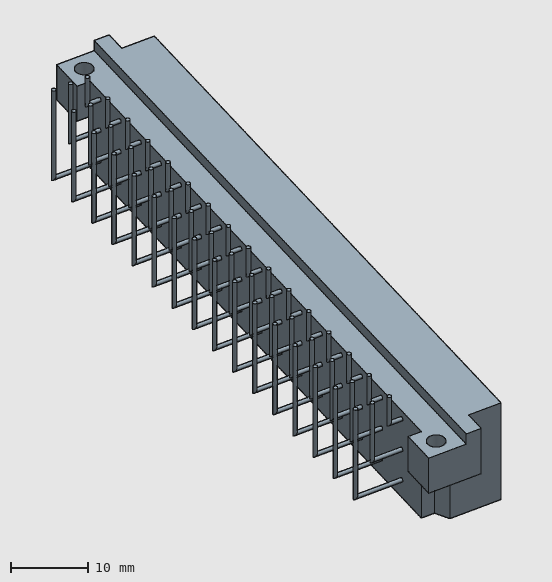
import cadquery as cq


length = 93.95
body_bottom = 2.0
body_top = 18.0
body_depth = 10.8
body_inset = 3.2

ledge_depth = 7.1
ledge_z = 16.35

ear_rear_depth = 4.9
ear_front_depth = 12.8
ear_bottom = 10.5
ear_width = 5.2
ear_hole_diameter = 2.5
ear_hole_inset = 2.5
ear_hole_depth = 10.1

taper_start_depth = 7.7
taper_end_depth = 8.8

foot_inset = 7.7
foot_rear_depth = 2.6
foot_step_depth = 5.4
foot_front_depth = 9.3
foot_step_z = 1.5

column_count = 16
pin_pitch = 2.5
row_pitch = 2 * pin_pitch
row_count = 3
pin_diameter = 0.6
pin_radius = pin_diameter / 2
pin_top = 19.5
first_column_x = 7.6
last_column_x = 83.8
column_pitch = (last_column_x - first_column_x) / (column_count - 1)
lowest_row_z = 4.9
overall_depth = 18.0
pin_root = 0.9


def block(x_inset, rear_depth, front_depth, bottom, top):
    """Box centred along the length, set in by x_inset at both ends."""
    return cq.Workplane("XY").box(
        length - 2 * x_inset, front_depth - rear_depth, top - bottom, centered=False
    ).translate((x_inset, -front_depth, bottom))


def make_body():
    """Lower housing whose ends taper in to a narrower front."""
    outline = [
        (body_inset, 0),
        (body_inset, -taper_start_depth),
        (ear_width, -taper_end_depth),
        (ear_width, -body_depth),
        (length - ear_width, -body_depth),
        (length - ear_width, -taper_end_depth),
        (length - body_inset, -taper_start_depth),
        (length - body_inset, 0),
    ]
    height = body_top - body_bottom
    return cq.Workplane("XY").workplane(offset=body_bottom).polyline(outline).close().extrude(height)


def make_ears():
    """Full-length flange, cut back to the body front between the two ears."""
    flange = block(0, ear_rear_depth, ear_front_depth, ear_bottom, body_top)
    recess = block(ear_width, body_depth, ear_front_depth, ear_bottom, body_top)
    return flange.cut(recess)


def make_ear_holes():
    """Upright cylinders that cut a through hole in each ear."""
    centres = [(x, -ear_hole_depth) for x in (ear_hole_inset, length - ear_hole_inset)]
    return cq.Workplane("XY").pushPoints(centres).circle(ear_hole_diameter / 2).extrude(body_top)


def make_foot():
    """Foot with a lower lip reaching back under the body."""
    riser = block(foot_inset, foot_step_depth, foot_front_depth, 0, body_bottom)
    lip = block(foot_inset, foot_rear_depth, foot_step_depth, 0, foot_step_z)
    return riser.union(lip)


def make_pin(x, row):
    """L-shaped round pin with a mitred corner; lower rows reach further out."""
    z = lowest_row_z + row * row_pitch
    y = -(overall_depth - pin_radius - row * pin_pitch)
    path = cq.Workplane("YZ", origin=(x, 0, 0)).polyline(
        [(pin_root - body_depth, z), (y, z), (y, pin_top)]
    )
    start = cq.Workplane("XZ", origin=(x, pin_root - body_depth, z))
    return start.circle(pin_radius).sweep(path, transition="right")


housing = make_body().union(make_ears()).union(make_foot())
housing = housing.cut(block(0, ledge_depth, ear_front_depth, ledge_z, body_top))
housing = housing.cut(make_ear_holes())

pins = [
    make_pin(first_column_x + column * column_pitch, row).val()
    for column in range(column_count)
    for row in range(row_count)
]
result = cq.Workplane("XY").newObject([housing.val().fuse(*pins)])